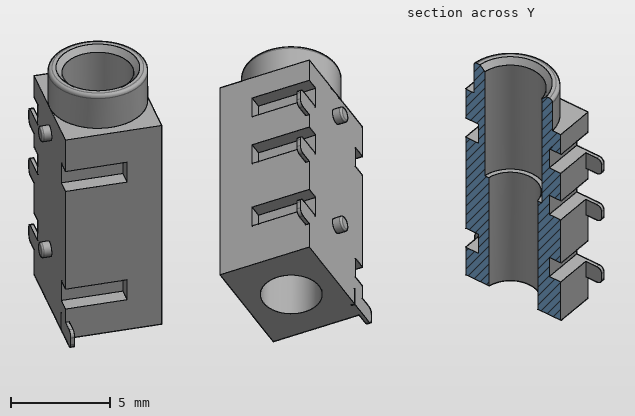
import cadquery as cq

body_width = 6.0
body_depth = 5.0
body_height = 12.0
side_x = body_width / 2
mount_y = -body_depth / 2

collar_radius = body_depth / 2
collar_height = 2.0
collar_edge_radius = 0.2
total_height = body_height + collar_height

entry_radius = 1.8
entry_depth = total_height / 2
through_radius = 1.55
mouth_chamfer = 0.3

tab_length = 1.0
tab_height = 1.0
tab_thickness = 0.2
tab_corner_radius = 0.3
left_tab_bottoms = (1.5, 5.5, 8.5)

slit_width = 0.05
slit_x = 2.1

notch_height = 1.2
notch_depth = 3.2
left_notch_width = 0.72
right_notch_width = 0.8
right_notch_bottoms = (1.8, 8.9)

peg_radius = 0.4
peg_length = 0.5
peg_edge_radius = 0.1
peg_heights = (3.5, 10.5)


def box_between(x_min, x_max, y_min, y_max, z_min, z_max):
    size = (x_max - x_min, y_max - y_min, z_max - z_min)
    return cq.Workplane("XY").box(*size, centered=False).translate((x_min, y_min, z_min))


def make_housing():
    block = cq.Workplane("XY").box(body_width, body_depth, body_height, centered=(True, True, False))
    collar = cq.Workplane("XY").workplane(offset=body_height).circle(collar_radius).extrude(collar_height)
    collar = collar.faces(">Z").edges().fillet(collar_edge_radius)
    return block.union(collar)


def make_bore():
    through = cq.Workplane("XY").circle(through_radius).extrude(total_height)
    entry = cq.Workplane("XY").workplane(offset=total_height).circle(entry_radius).extrude(-entry_depth)
    mouth = cq.Solid.makeCone(
        entry_radius,
        entry_radius + mouth_chamfer,
        mouth_chamfer,
        pnt=cq.Vector(0, 0, total_height - mouth_chamfer),
    )
    return through.union(entry).union(cq.Workplane(mouth))


def make_notch(side, width, bottom):
    """Notch on the left (side = -1) or right (side = 1) of the block."""
    x_min, x_max = sorted((side * side_x, side * (side_x - width)))
    return box_between(x_min, x_max, mount_y, mount_y + notch_depth, bottom, bottom + notch_height)


def make_tab(side, bottom):
    """Solder tab with a rounded outer end, standing out from one side of the block."""
    x_min, x_max = sorted((side * side_x, side * (side_x + tab_length)))
    tab = box_between(x_min, x_max, mount_y, mount_y + tab_thickness, bottom, bottom + tab_height)
    outer_face = ">X" if side > 0 else "<X"
    return tab.faces(outer_face).edges("|Y").fillet(tab_corner_radius)


def make_slit():
    return box_between(slit_x, slit_x + slit_width, mount_y, mount_y + tab_thickness, 0, tab_height)


def make_peg(height):
    peg = cq.Workplane("XZ", origin=(0, mount_y, height)).circle(peg_radius).extrude(peg_length)
    return peg.faces("<Y").edges().fillet(peg_edge_radius)


result = make_housing().cut(make_bore()).cut(make_slit())

for tab_bottom in left_tab_bottoms:
    result = result.cut(make_notch(-1, left_notch_width, tab_bottom + tab_height))
    result = result.union(make_tab(-1, tab_bottom))

for notch_bottom in right_notch_bottoms:
    result = result.cut(make_notch(1, right_notch_width, notch_bottom))

result = result.union(make_tab(1, 0))

for peg_height in peg_heights:
    result = result.union(make_peg(peg_height))